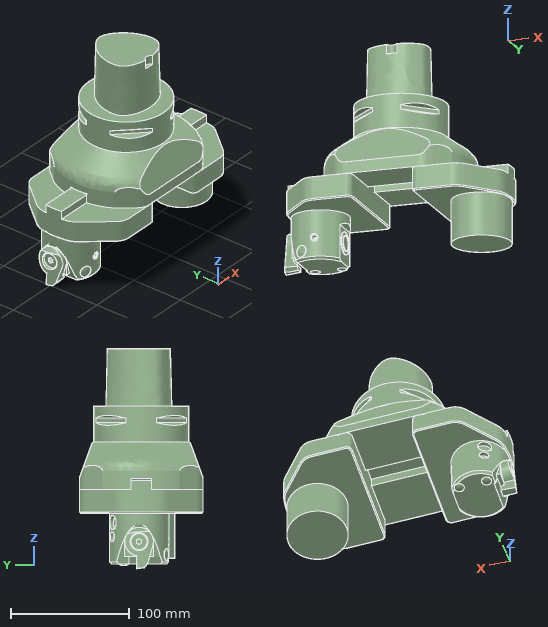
import cadquery as cq
import math

BODY_WIDTH = 104.0
JOINT_FILLET = 15.0

BODY_RADIUS = 65.1
BODY_SHOULDER_FILLET = 13.5
BODY_WALL_TOP = 22.0
CONE_TOP = 40.0
FLANGE_DIAMETER = 80.0
FLANGE_TOP = 70.0
SHANK_TOP = 118.3
FLAT_TOP = 10.1
FLAT_LEAN = 20.0
CORNER_ANGLE = 50.0
CORNER_DISTANCE = 64.0
KEYWAY_WIDTH = 17.0
KEYWAY_HEIGHT = 8.9

SHANK_BASE_RADIUS = 27.8
SHANK_TOP_RADIUS = 26.7
SHANK_LOBE = 2.0
SHANK_POINTS = 36
NOTCH_DIAMETER = 10.1
NOTCH_HEIGHT = 8.3
NOTCH_DEPTH = 3.0

GROOVE_LEVEL = 58.0
GROOVE_FLOOR_DISTANCE = 35.8
GROOVE_FLOOR_HEIGHT = 3.6
GROOVE_MOUTH_HEIGHT = 8.3

SLIDE_THICKNESS = 20.2
SLIDE_REACH = 98.5
SLIDE_END_RADIUS = 70.8
SLIDE_INNER_X = 26.7
SLIDE_CORNER_DISTANCE = 85.5
SLIDE_END_FILLET = 20.2
SLIDE_INNER_FILLET = 5.0
SLIDE_EDGE_CHAMFER = 1.0
KEY_HEIGHT = 7.7

TOOL_OFFSET = 72.4
WEIGHT_DIAMETER = 51.5
WEIGHT_Y = -2.5
WEIGHT_BOTTOM = -58.0

HEAD_DIAMETER = 50.0
HEAD_X = -TOOL_OFFSET
HEAD_Y = 1.8
HEAD_BOTTOM = -62.9
HEAD_CHAMFER = 2.0
HEAD_FLAT_X = -51.0
HEAD_FLAT_TOP = -28.0
FACE_TOP = -29.1
FACE_TOP_X = -97.5
FACE_LEAN = 15.5
RELIEF_LEAN = 25.0
RELIEF_Y_MAX = 10.1
SEAT_X = -93.6
SEAT_WIDTH = 24.3
SEAT_BOTTOM = -56.6

COVER_STEPS = [(19.8, 0.6), (13.5, 1.2)]
COVER_Z = -44.5
SIDE_PLUG_X = -9.3
SIDE_PLUG_Z = -54.8
SIDE_PLUG_DIAMETER = 10.1
SIDE_PLUG_RISE = 1.0
BOTTOM_PLUGS = [(-81.7, 14.8), (-57.6, 14.8)]
BOTTOM_PLUG_DIAMETER = 8.5
BOTTOM_PLUG_RISE = 1.2
PORT_X = 2.6
PORT_Z = -44.0
PORT_DIAMETER = 6.3
PORT_RECESS = 1.2
PORT_BORE = 4.7
PORT_DEPTH = 2.5
PORT_TAPER = 33.0
BACK_HOLES = [(-10.7, -28.0, 12.0), (-10.1, -39.8, 8.0)]
BACK_HOLE_DEPTH = 4.0

INSERT_DIAMETER = 24.0
INSERT_Z = -43.9
INSERT_TOP = -31.7
INSERT_BEVEL_X = -97.5
BEVEL_RADIUS = 24.3
CUTTING_EDGE_Y = 3.8
TIP_X = -103.7
TIP_Z = -66.7
TONGUE_TAPER = 16.0
TONGUE_EDGE_END = -62.5
TONGUE_TOE_Y = -2.6
TONGUE_TOE_Z = -66.0
HEEL_X = -90.8
HEEL_TOP = -61.5
HEEL_RISE = 1.5
FRONT_RADIUS = 30.3
FRONT_LEAN = 4.2
COUNTERBORE_DIAMETER = 15.0
SCREW_HEAD_DIAMETER = 13.5
SCREW_SHANK_DIAMETER = 8.0
SCREW_FACE_X = -100.3
SCREW_HEAD_X = -95.8
SCREW_END_X = -80.9
SOCKET_WIDTH = 5.0
SOCKET_DEPTH = 2.0

SLIDE_BOTTOM = -SLIDE_THICKNESS
HALF_WIDTH = BODY_WIDTH / 2
HEAD_RADIUS = HEAD_DIAMETER / 2
BIG = 404.4
CUT_DEPTH = 40.5
CLEARANCE = 2.0
EMBED = 2.0


def half_space(distance, angle):
    """Block whose flat face stands at a distance from the Z axis, facing the given angle in XY."""
    block = cq.Workplane("XY").box(BIG, BIG, BIG).translate((distance - BIG / 2, 0, 0))
    return block.rotate((0, 0, 0), (0, 0, 1), angle)


def cylinder_x(diameter, x_start, x_end, y, z):
    """Cylinder along X."""
    return (cq.Workplane("YZ", origin=(x_start, y, z))
            .circle(diameter / 2).extrude(x_end - x_start))


def shank_point(angle, mean_radius):
    """Point of a closed three-lobed curve that has one lobe towards +Y."""
    turn = 3 * (angle - math.pi / 2)
    reach = mean_radius + SHANK_LOBE * math.cos(turn)
    shift = -3 * SHANK_LOBE * math.sin(turn)
    return (reach * math.cos(angle) - shift * math.sin(angle),
            reach * math.sin(angle) + shift * math.cos(angle))


def make_shank():
    """Tapering three-lobed shank with a round-backed notch at its top."""
    angles = [2 * math.pi * i / SHANK_POINTS for i in range(SHANK_POINTS)]
    base = [shank_point(angle, SHANK_BASE_RADIUS) for angle in angles]
    top = [shank_point(angle, SHANK_TOP_RADIUS) for angle in angles]
    shank = (cq.Workplane("XY", origin=(0, 0, FLANGE_TOP)).spline(base, periodic=True).close()
             .workplane(offset=SHANK_TOP - FLANGE_TOP).spline(top, periodic=True).close().loft(ruled=True))
    notch_y = -(SHANK_TOP_RADIUS - SHANK_LOBE) - NOTCH_DIAMETER / 2 + NOTCH_DEPTH
    notch = (cq.Workplane("XY", origin=(0, notch_y, SHANK_TOP - NOTCH_HEIGHT))
             .circle(NOTCH_DIAMETER / 2).extrude(BIG))
    return shank.cut(notch)


def make_body():
    """Round body narrowed by two side flats and four corner cuts."""
    body = (cq.Workplane("XZ")
            .polyline([(0, 0), (BODY_RADIUS, 0), (BODY_RADIUS, BODY_WALL_TOP),
                       (FLANGE_DIAMETER / 2, CONE_TOP), (FLANGE_DIAMETER / 2, FLANGE_TOP), (0, FLANGE_TOP)])
            .close().revolve(360, (0, 0), (0, 1)))
    slack = CLEARANCE / 10
    rim = cq.selectors.BoxSelector((-BIG, -BIG, BODY_WALL_TOP - slack), (BIG, BIG, BODY_WALL_TOP + slack))
    body = body.edges(rim).edges("%CIRCLE").fillet(BODY_SHOULDER_FILLET)
    plan = cq.Workplane("XY").box(BIG, BODY_WIDTH, BIG)
    corner_normal = 90 - CORNER_ANGLE
    for angle in (corner_normal, 180 - corner_normal, 180 + corner_normal, -corner_normal):
        plan = plan.intersect(half_space(CORNER_DISTANCE, angle))
    plan = plan.edges("|Z").edges("<Y or >Y").fillet(JOINT_FILLET)
    return body.intersect(plan)


def lean_cut():
    """Wedge that makes the +Y flat lean inwards."""
    inward = (CONE_TOP - FLAT_TOP) * math.tan(math.radians(FLAT_LEAN))
    return (cq.Workplane("YZ").polyline([
        (HALF_WIDTH, FLAT_TOP), (HALF_WIDTH - inward, CONE_TOP),
        (BIG, CONE_TOP), (BIG, FLAT_TOP)]).close().extrude(BIG / 2, both=True))


def gripper_groove(angle):
    """Straight groove with a flat floor and flaring sides, facing the given angle."""
    mouth = FLANGE_DIAMETER / 2
    flare = (GROOVE_MOUTH_HEIGHT - GROOVE_FLOOR_HEIGHT) / 2
    floor = GROOVE_FLOOR_HEIGHT / 2
    groove = (cq.Workplane("XZ").polyline([
        (GROOVE_FLOOR_DISTANCE, GROOVE_LEVEL - floor), (mouth, GROOVE_LEVEL - floor - flare),
        (mouth, GROOVE_LEVEL + floor + flare), (GROOVE_FLOOR_DISTANCE, GROOVE_LEVEL + floor)])
        .close().extrude(BIG / 2, both=True))
    return groove.rotate((0, 0, 0), (0, 0, 1), angle)


def make_adapter():
    """Body, flange and shank in one piece, with a keyway along X and four gripper grooves."""
    body = make_body()
    flange = (cq.Workplane("XY", origin=(0, 0, CONE_TOP))
              .circle(FLANGE_DIAMETER / 2).extrude(FLANGE_TOP - CONE_TOP))
    wedge = lean_cut()
    body = body.cut(wedge).cut(wedge.mirror("XZ")).union(flange)
    keyway = cq.Workplane("XY").rect(BIG, KEYWAY_WIDTH).extrude(KEYWAY_HEIGHT)
    body = body.cut(keyway)
    for angle in (45, 135, 225, 315):
        body = body.cut(gripper_groove(angle))
    return body.union(make_shank())


def make_slide(turn):
    """Slide with a key on top; built towards +X and turned about Z into place."""
    length = SLIDE_REACH - SLIDE_INNER_X
    middle = SLIDE_INNER_X + length / 2
    sagitta = SLIDE_END_RADIUS - math.sqrt(SLIDE_END_RADIUS ** 2 - HALF_WIDTH ** 2)
    bulge_edge = SLIDE_REACH - sagitta
    end_bulge = (cq.Workplane("XY").moveTo(0, -HALF_WIDTH).lineTo(bulge_edge, -HALF_WIDTH)
                 .threePointArc((SLIDE_REACH, 0), (bulge_edge, HALF_WIDTH)).lineTo(0, HALF_WIDTH)
                 .close().extrude(SLIDE_THICKNESS, both=True))
    plate = (cq.Workplane("XY", origin=(middle, 0, SLIDE_BOTTOM))
             .rect(length, BODY_WIDTH).extrude(SLIDE_THICKNESS))
    plate = plate.edges("|Z and <X").fillet(SLIDE_INNER_FILLET)
    for angle in (90 - CORNER_ANGLE, CORNER_ANGLE - 90):
        plate = plate.intersect(half_space(SLIDE_CORNER_DISTANCE, angle))
    plate = plate.edges("|Z").edges(">Y or <Y").edges(">X").fillet(JOINT_FILLET)
    plate = plate.intersect(end_bulge)
    plate = plate.edges("|Z").edges(">X").fillet(SLIDE_END_FILLET)
    plate = plate.faces("<Z").chamfer(SLIDE_EDGE_CHAMFER)
    key = cq.Workplane("XY", origin=(middle, 0, 0)).rect(length, KEYWAY_WIDTH).extrude(KEY_HEIGHT)
    return plate.union(key.intersect(end_bulge)).rotate((0, 0, 0), (0, 0, 1), turn)


def make_counterweight():
    """Plain cylinder under the +X slide."""
    return (cq.Workplane("XY", origin=(TOOL_OFFSET, WEIGHT_Y, SLIDE_BOTTOM))
            .circle(WEIGHT_DIAMETER / 2).extrude(WEIGHT_BOTTOM - SLIDE_BOTTOM))


def make_insert_blank():
    """Round seat with a cutting tongue hanging below it."""
    radius = INSERT_DIAMETER / 2
    taper = math.radians(TONGUE_TAPER)
    tangent_y = HEAD_Y - radius * math.cos(taper)
    tangent_z = INSERT_Z - radius * math.sin(taper)
    edge_end_y = tangent_y + (tangent_z - TONGUE_EDGE_END) * math.tan(taper)
    tongue = (cq.Workplane("YZ").polyline([
        (CUTTING_EDGE_Y, INSERT_Z), (CUTTING_EDGE_Y, TIP_Z), (TONGUE_TOE_Y, TONGUE_TOE_Z),
        (edge_end_y, TONGUE_EDGE_END), (tangent_y, tangent_z), (HEAD_Y, INSERT_Z)])
        .close().extrude(-BIG))
    disc = cylinder_x(INSERT_DIAMETER, -BIG, 0, HEAD_Y, INSERT_Z)
    side = (cq.Workplane("XZ").polyline([
        (SEAT_X, INSERT_TOP), (TIP_X, INSERT_TOP), (TIP_X, TIP_Z),
        (HEEL_X, TIP_Z + HEEL_RISE), (HEEL_X, HEEL_TOP), (SEAT_X, HEEL_TOP + HEEL_X - SEAT_X)])
        .close().extrude(BIG / 2, both=True))
    apex_x = INSERT_BEVEL_X - BEVEL_RADIUS
    bevel = (cq.Workplane("XZ", origin=(0, HEAD_Y, INSERT_TOP - BEVEL_RADIUS))
             .polyline([(apex_x, 0), (0, -apex_x), (0, 0)]).close().revolve(360, (0, 0), (1, 0)))
    front = (cq.Workplane("XY", origin=(TIP_X + FRONT_RADIUS, CUTTING_EDGE_Y, TIP_Z))
             .circle(FRONT_RADIUS).extrude(BIG / 2, both=True)
             .rotate((TIP_X, 0, TIP_Z), (TIP_X, 1, TIP_Z), FRONT_LEAN))
    return tongue.union(disc).intersect(side).intersect(bevel).intersect(front)


def make_screw():
    """Cylindrical-head screw with a hexagonal socket, clamping the insert."""
    head = cylinder_x(SCREW_HEAD_DIAMETER, SCREW_FACE_X, SCREW_HEAD_X, HEAD_Y, INSERT_Z)
    shank = cylinder_x(SCREW_SHANK_DIAMETER, SCREW_HEAD_X, SCREW_END_X, HEAD_Y, INSERT_Z)
    socket = (cq.Workplane(cq.Plane(origin=(SCREW_FACE_X, HEAD_Y, INSERT_Z), xDir=(0, 0, 1), normal=(1, 0, 0)))
              .polygon(6, SOCKET_WIDTH).extrude(SOCKET_DEPTH))
    return head.union(shank).cut(socket)


def make_insert():
    """Insert with the counterbored hole of its screw."""
    counterbore = cylinder_x(COUNTERBORE_DIAMETER, -BIG, SCREW_HEAD_X, HEAD_Y, INSERT_Z)
    bore = cylinder_x(SCREW_SHANK_DIAMETER, SCREW_HEAD_X, SEAT_X, HEAD_Y, INSERT_Z)
    return make_insert_blank().cut(counterbore).cut(bore)


def leaning_cut(x, z, lean):
    """Everything on the -X side of a plane through (x, z) that runs to +X downwards."""
    bottom = z - CUT_DEPTH
    return (cq.Workplane("XZ").polyline([
        (x, z), (x + CUT_DEPTH * math.tan(math.radians(lean)), bottom), (-BIG, bottom), (-BIG, z)])
        .close().extrude(BIG / 2, both=True))


def on_side(x_offset, z, front):
    """Workplane tangent to the head's round side, its normal pointing outwards."""
    sign = -1 if front else 1
    y = sign * math.sqrt(HEAD_RADIUS ** 2 - x_offset ** 2)
    return cq.Workplane(cq.Plane(origin=(HEAD_X + x_offset, HEAD_Y + y, z), xDir=(0, 0, 1),
                                 normal=(x_offset, y, 0)))


def dome(plane, diameter, height):
    """Solid spherical cap standing on the plane, with a short root sunk below it."""
    root = plane.circle(diameter / 2).extrude(-EMBED)
    radius = (diameter ** 2 / 4 + height ** 2) / (2 * height)
    ball = plane.workplane(offset=height - radius).sphere(radius)
    cap = plane.circle(diameter / 2).extrude(height).intersect(ball)
    return root.union(cap)


def insert_face_cut():
    """Material removed in front of the sloping face, leaving the upright seat of the insert."""
    cut = leaning_cut(FACE_TOP_X, FACE_TOP, FACE_LEAN)
    seat = (cq.Workplane("XY").box(BIG, SEAT_WIDTH, BIG, centered=(False, True, False))
            .translate((SEAT_X, HEAD_Y, SEAT_BOTTOM)))
    relief_x = FACE_TOP_X + (FACE_TOP - SEAT_BOTTOM) * math.tan(math.radians(FACE_LEAN))
    relief = leaning_cut(relief_x, SEAT_BOTTOM, RELIEF_LEAN)
    relief = relief.intersect(cq.Workplane("XY").box(BIG, BIG, BIG).translate((0, RELIEF_Y_MAX - BIG / 2, 0)))
    return cut.cut(seat).union(relief)


def inner_flat_cut():
    """Flat on the +X side of the head, running out at 45 degrees at its top."""
    edge = HEAD_X + HEAD_RADIUS
    outside = edge + CLEARANCE
    return (cq.Workplane("XZ").polyline([
        (outside, HEAD_FLAT_TOP + CLEARANCE), (HEAD_FLAT_X, HEAD_FLAT_TOP - (edge - HEAD_FLAT_X)),
        (HEAD_FLAT_X, -BIG), (outside, -BIG)]).close().extrude(BIG / 2, both=True))


def make_head():
    """Round head with the insert seat, an inner flat, plugs and holes."""
    height = SLIDE_BOTTOM - HEAD_BOTTOM
    head = (cq.Workplane("XY", origin=(HEAD_X, HEAD_Y, HEAD_BOTTOM)).circle(HEAD_RADIUS).extrude(height)
            .faces("<Z").chamfer(HEAD_CHAMFER))
    head = head.cut(insert_face_cut()).cut(inner_flat_cut()).cut(make_insert_blank())
    head = head.cut(cylinder_x(SCREW_SHANK_DIAMETER, SEAT_X - CLEARANCE, SCREW_END_X, HEAD_Y, INSERT_Z))
    for diameter, rise in COVER_STEPS:
        head = head.union(cylinder_x(diameter, HEAD_FLAT_X - EMBED, HEAD_FLAT_X + rise, HEAD_Y, COVER_Z))
    head = head.union(dome(on_side(SIDE_PLUG_X, SIDE_PLUG_Z, True), SIDE_PLUG_DIAMETER, SIDE_PLUG_RISE))
    for x, y in BOTTOM_PLUGS:
        plane = cq.Workplane(cq.Plane(origin=(x, y, HEAD_BOTTOM), xDir=(1, 0, 0), normal=(0, 0, -1)))
        head = head.union(dome(plane, BOTTOM_PLUG_DIAMETER, BOTTOM_PLUG_RISE))
    port = on_side(PORT_X, PORT_Z, True)
    head = head.cut(port.circle(PORT_DIAMETER / 2).extrude(PORT_RECESS, both=True))
    head = head.cut(port.workplane(offset=-PORT_RECESS).circle(PORT_BORE / 2)
                    .extrude(-PORT_DEPTH, taper=PORT_TAPER))
    for x, z, diameter in BACK_HOLES:
        head = head.cut(on_side(x, z, False).circle(diameter / 2).extrude(BACK_HOLE_DEPTH, both=True))
    return head


adapter = make_adapter()
slides = [make_slide(turn) for turn in (0, 180)]
counterweight = make_counterweight()
head = make_head()
insert = make_insert()
screw = make_screw()

result = cq.Compound.makeCompound([
    adapter.val(), *[slide.val() for slide in slides], counterweight.val(),
    head.val(), insert.val(), screw.val()])